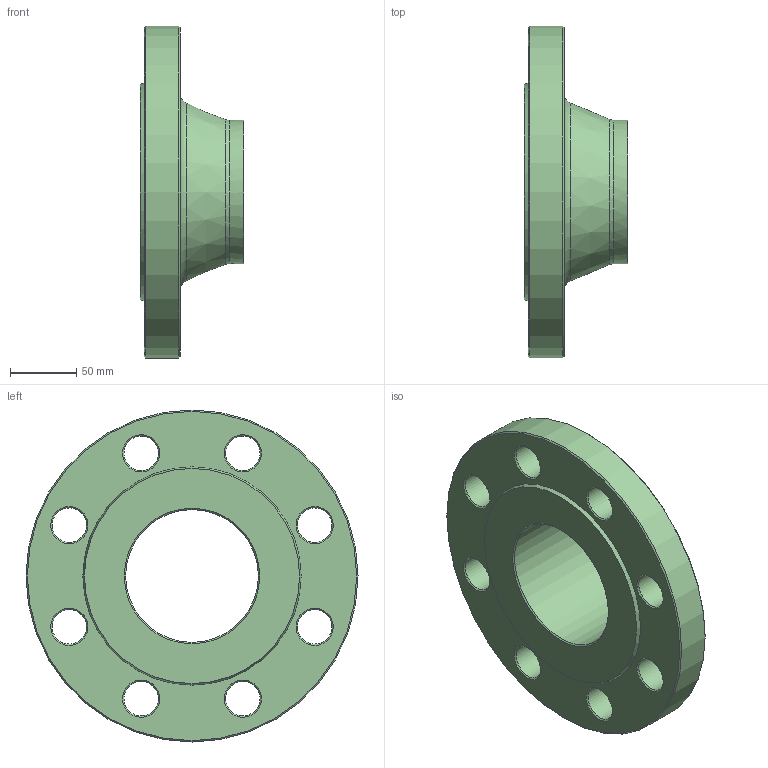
import cadquery as cq

total_length = 78.0
flange_diameter = 250.0
flange_back = 30.0
raised_face_height = 3.0
raised_face_diameter = 162.0
raised_face_base_diameter = 164.4
bore_diameter = 100.0

hub_base_diameter = 138.0
weld_end_diameter = 108.0
weld_end_length = 12.0
hub_fillet = 8.0

bolt_count = 8
bolt_hole_diameter = 26.0
bolt_circle_diameter = 200.0

edge_chamfer = 1.0
chamfer_angle = 45.0


def make_body():
    """Revolve the half section of flange, raised face and hub about X."""
    flange_radius = flange_diameter / 2
    weld_end_radius = weld_end_diameter / 2
    half_section = (
        cq.Workplane("XY")
        .moveTo(0, 0)
        .lineTo(0, raised_face_diameter / 2)
        .lineTo(raised_face_height, raised_face_base_diameter / 2)
        .lineTo(raised_face_height, flange_radius - edge_chamfer)
        .lineTo(raised_face_height + edge_chamfer, flange_radius)
        .lineTo(flange_back - edge_chamfer, flange_radius)
        .lineTo(flange_back, flange_radius - edge_chamfer)
        .lineTo(flange_back, hub_base_diameter / 2)
        .lineTo(total_length - weld_end_length, weld_end_radius)
        .lineTo(total_length, weld_end_radius)
        .lineTo(total_length, 0)
        .close()
    )
    return half_section.revolve(360, (0, 0, 0), (1, 0, 0))


def round_hub_ends(body):
    """Fillet both ends of the hub cone into the flange and the welding end."""
    reach = hub_base_diameter / 2 + edge_chamfer
    hub_zone = cq.selectors.BoxSelector(
        (flange_back - edge_chamfer / 2, -reach, -reach),
        (total_length - weld_end_length / 2, reach, reach),
        boundingbox=True,
    )
    hub_edges = body.edges("%CIRCLE").edges(hub_zone)
    return hub_edges.fillet(hub_fillet)


def chamfered_cutter(diameter, entry_x):
    """Through-hole cutter along X with a chamfered mouth at entry_x."""
    hole = (
        cq.Workplane("YZ")
        .workplane(offset=entry_x)
        .circle(diameter / 2)
        .extrude(total_length)
    )
    mouth = (
        cq.Workplane("YZ")
        .workplane(offset=entry_x)
        .circle(diameter / 2 + edge_chamfer)
        .extrude(edge_chamfer, taper=chamfer_angle)
    )
    return hole.union(mouth)


def cut_bore(body):
    """Cut the bore, chamfered at the sealing face."""
    return body.cut(chamfered_cutter(bore_diameter, 0))


def cut_bolt_holes(body):
    """Cut the bolt holes, which straddle the Y and Z axes by half a pitch."""
    pitch_angle = 360 / bolt_count
    first_hole = chamfered_cutter(bolt_hole_diameter, raised_face_height).translate(
        (0, bolt_circle_diameter / 2, 0)
    )
    for index in range(bolt_count):
        angle = pitch_angle / 2 + index * pitch_angle
        body = body.cut(first_hole.rotate((0, 0, 0), (1, 0, 0), angle))
    return body


body = make_body()
body = round_hub_ends(body)
body = cut_bore(body)
result = cut_bolt_holes(body)